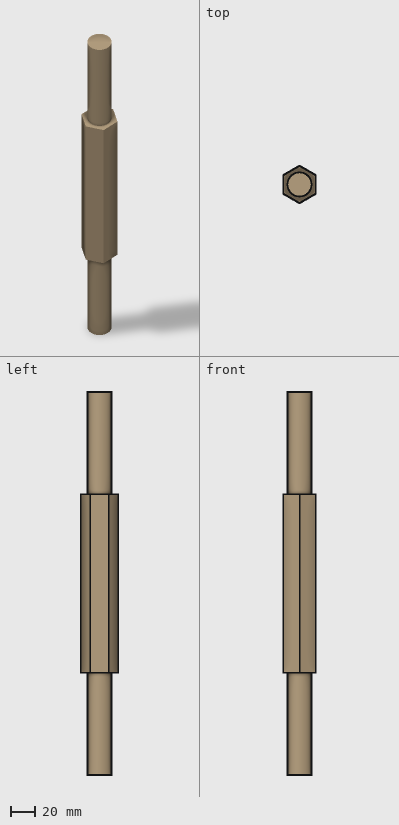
import cadquery as cq
import math

total_length = 318.0
rod_diameter = 20.0
hex_across_flats = 27.0
hex_length = 148.5

hex_across_corners = hex_across_flats / math.cos(math.pi / 6)


def centred_rod():
    """Round rod along Z, running the full length of the part."""
    return cq.Workplane("XY").circle(rod_diameter / 2).extrude(total_length / 2, both=True)


def hex_body():
    """Hexagonal middle section with two flats facing +X and -X."""
    return (
        cq.Workplane("XY")
        .transformed(rotate=(0, 0, 90))
        .polygon(6, hex_across_corners)
        .extrude(hex_length / 2, both=True)
    )


result = centred_rod().union(hex_body())